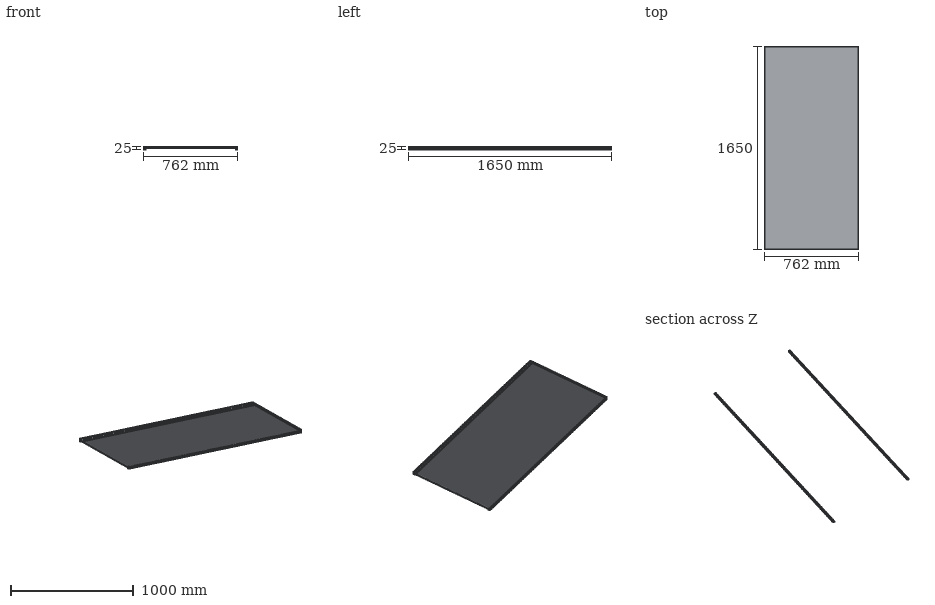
import cadquery as cq

length = 1650.0
width = 762.0
height = 25.0
sheet = 2.0
bend_radius = 2.6
lip_width = 15.0
end_flange_height = 15.0

hole_size = 9.0
hole_count = 66
hole_pitch = length / hole_count
hole_middle = height / 2

inner_radius = bend_radius - sheet
end_width = width - 2 * bend_radius
side_length = length - 2 * bend_radius


def block(size_x, size_y, bottom, top):
    """Box centred on X and Y, between two heights."""
    box = cq.Workplane("XY").box(size_x, size_y, top - bottom, centered=(True, True, False))
    return box.translate((0, 0, bottom))


def side_channel():
    """Top sheet, both long sides and their lips, as one bent section along Y."""
    outside = block(width, side_length, 0, height).edges("|Y").fillet(bend_radius)
    inside = block(width - 2 * sheet, side_length, sheet, height - sheet)
    inside = inside.edges("|Y").fillet(inner_radius)
    lip_gap = block(width - 2 * lip_width, side_length, 0, height / 2)
    return outside.cut(inside).cut(lip_gap)


def end_channel():
    """Top sheet between the side bends, with a flange bent down at each end."""
    bottom = height - end_flange_height
    outside = block(end_width, length, bottom, height)
    outside = outside.edges("|X and >Z").fillet(bend_radius)
    inside = block(end_width, length - 2 * sheet, bottom, height - sheet)
    inside = inside.edges("|X and >Z").fillet(inner_radius)
    return outside.cut(inside)


def side_holes():
    """Square bars that pierce both long sides, spread evenly over the length."""
    return (
        cq.Workplane("YZ", origin=(0, 0, hole_middle))
        .rarray(hole_pitch, 16, hole_count, 1)
        .rect(hole_size, hole_size)
        .extrude(width, both=True)
    )


result = side_channel().union(end_channel()).cut(side_holes())